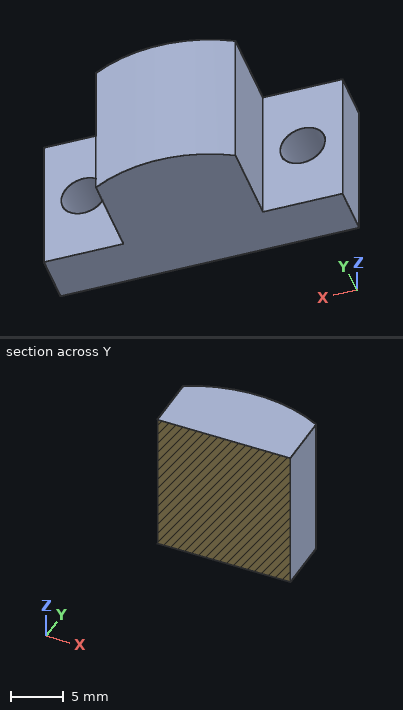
import cadquery as cq
import math

length = 30.0
depth = 15.0
height = 15.0

flange_thickness = 5.0
hole_diameter = 4.5
hole_spacing = 22.0

boss_width = 14.0
crown_radius = 15.0

half_boss = boss_width / 2
crown_rise = crown_radius - math.sqrt(crown_radius**2 - half_boss**2)
shoulder_y = depth - crown_rise


def make_flange():
    """Rectangular plate with its front face on Y = 0."""
    return cq.Workplane("XY").box(length, flange_thickness, height, centered=(True, False, False))


def make_boss():
    """Block from the front face to the crown, full height."""
    return (
        cq.Workplane("XY")
        .moveTo(-half_boss, 0)
        .lineTo(half_boss, 0)
        .lineTo(half_boss, shoulder_y)
        .threePointArc((0, depth), (-half_boss, shoulder_y))
        .close()
        .extrude(height)
    )


def make_holes():
    """Pair of cylinders through the flange along Y, at mid height."""
    centres = [(side * hole_spacing / 2, height / 2) for side in (-1, 1)]
    return (
        cq.Workplane("XZ")
        .pushPoints(centres)
        .circle(hole_diameter / 2)
        .extrude(-flange_thickness)
    )


result = make_flange().union(make_boss()).cut(make_holes())